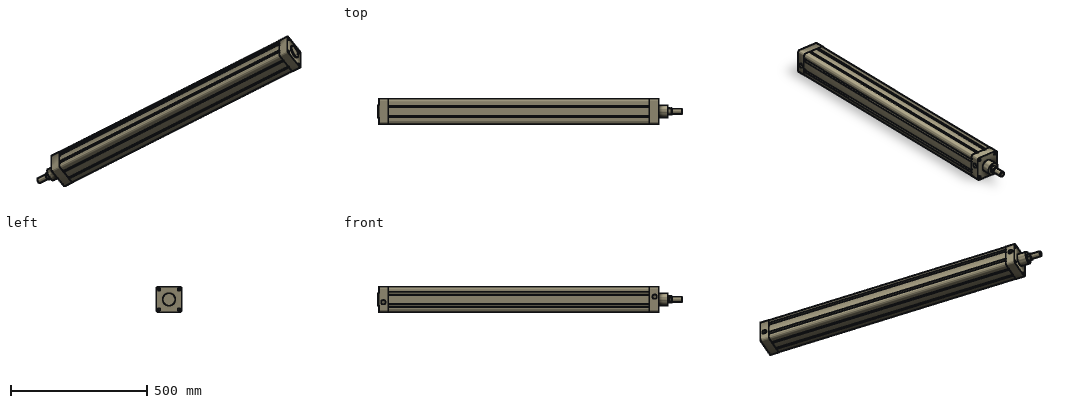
import cadquery as cq

overall_length = 1118.0
rear_boss_length = 4.0
cap_length = 35.0
front_boss_length = 34.0
rod_neck_length = 16.0
thread_length = 37.0
body_length = overall_length - rear_boss_length - front_boss_length - rod_neck_length - thread_length
tube_length = body_length - 2 * cap_length

rear_end_x = -overall_length / 2
rear_cap_x = rear_end_x + rear_boss_length
tube_x = rear_cap_x + cap_length
front_cap_x = tube_x + tube_length
front_boss_x = front_cap_x + cap_length
rod_neck_x = front_boss_x + front_boss_length
thread_x = rod_neck_x + rod_neck_length

width = 94.0
cap_corner_radius = 9.0
boss_diameter = 46.0
rod_diameter = 26.0
screw_spacing = 73.0
screw_hole_diameter = 9.0
screw_hole_depth = 17.0
port_diameter = 17.0
port_depth = 11.0
port_height_offset = 10.0
rear_port_setback = 17.0
front_port_setback = 16.0
rear_port_x = rear_cap_x + rear_port_setback
front_port_x = front_boss_x - front_port_setback

tube_corner_radius = 11.0
side_groove_diameter = 12.0
side_groove_depth = 3.0
side_groove_offset = 22.0
top_groove_width = 6.0
top_groove_offset = 18.0
top_groove_depth = 7.0

thread_diameter = 20.0
thread_chamfer = 2.0
shoulder_chamfer = (rod_diameter - thread_diameter) / 2
wrench_width = 22.0
wrench_flat_length = 8.0
wrench_flat_setback = 5.0
wrench_flat_x = rod_neck_x + wrench_flat_setback


def square_bar(start_x, length, corner_radius):
    """A square bar along X with rounded long edges."""
    return (
        cq.Workplane("YZ", origin=(start_x, 0, 0))
        .rect(width, width)
        .extrude(length)
        .edges("|X")
        .fillet(corner_radius)
    )


def rod_along_x(start_x, length, diameter):
    """A round bar on the X axis."""
    return cq.Workplane("YZ", origin=(start_x, 0, 0)).circle(diameter / 2).extrude(length)


def port(x, z):
    """A blind round port, cut into the -Y side of a cap."""
    return cq.Workplane("XZ", origin=(x, -width / 2, z)).circle(port_diameter / 2).extrude(-port_depth)


def corner_holes(start_x, depth, diameter):
    """Four holes along X at the corners of a square."""
    return (
        cq.Workplane("YZ", origin=(start_x, 0, 0))
        .rect(screw_spacing, screw_spacing, forConstruction=True)
        .vertices()
        .circle(diameter / 2)
        .extrude(depth)
    )


def make_rear_cap():
    """Rear cap with a short centering boss, blind screw holes and a low port."""
    cap = square_bar(rear_cap_x, cap_length, cap_corner_radius)
    cap = cap.union(rod_along_x(rear_end_x, rear_boss_length, boss_diameter))
    cap = cap.cut(corner_holes(rear_cap_x, screw_hole_depth, screw_hole_diameter))
    return cap.cut(port(rear_port_x, -port_height_offset))


def make_front_cap():
    """Front cap with a long boss, blind screw holes, a high port and the bore for the rod."""
    cap = square_bar(front_cap_x, cap_length, cap_corner_radius)
    cap = cap.union(rod_along_x(front_boss_x, front_boss_length, boss_diameter))
    cap = cap.cut(corner_holes(front_boss_x, -screw_hole_depth, screw_hole_diameter))
    cap = cap.cut(port(front_port_x, port_height_offset))
    return cap.cut(rod_along_x(front_cap_x, cap_length + front_boss_length, rod_diameter))


def make_tube():
    """Profile tube with two round grooves along each Y side and two square ones along each Z side."""
    tube = square_bar(tube_x, tube_length, tube_corner_radius)
    middle_x = tube_x + tube_length / 2
    for side in (-1, 1):
        for half in (-1, 1):
            side_groove = rod_along_x(tube_x, tube_length, side_groove_diameter)
            side_groove_y = side * (width / 2 - side_groove_depth)
            tube = tube.cut(side_groove.translate((0, side_groove_y, half * side_groove_offset)))
            top_groove = cq.Workplane("XY").box(tube_length, top_groove_width, top_groove_depth)
            top_groove_z = side * (width - top_groove_depth) / 2
            tube = tube.cut(top_groove.translate((middle_x, half * top_groove_offset, top_groove_z)))
    return tube


def make_piston_rod():
    """Rod through the front cap, with two wrench flats and a thinner end for the thread."""
    rod_length = thread_x - front_cap_x
    rod = rod_along_x(front_cap_x, rod_length, rod_diameter).faces(">X").chamfer(shoulder_chamfer)
    thread = rod_along_x(thread_x, thread_length, thread_diameter).faces(">X").chamfer(thread_chamfer)
    rod = rod.union(thread)
    for side in (-1, 1):
        flat = cq.Workplane("XY").box(wrench_flat_length, wrench_width, rod_diameter)
        flat_x = wrench_flat_x + wrench_flat_length / 2
        rod = rod.cut(flat.translate((flat_x, side * wrench_width, 0)))
    return rod


rear_cap = make_rear_cap()
front_cap = make_front_cap()
tube = make_tube()
piston_rod = make_piston_rod()

result = cq.Compound.makeCompound([rear_cap.val(), tube.val(), front_cap.val(), piston_rod.val()])